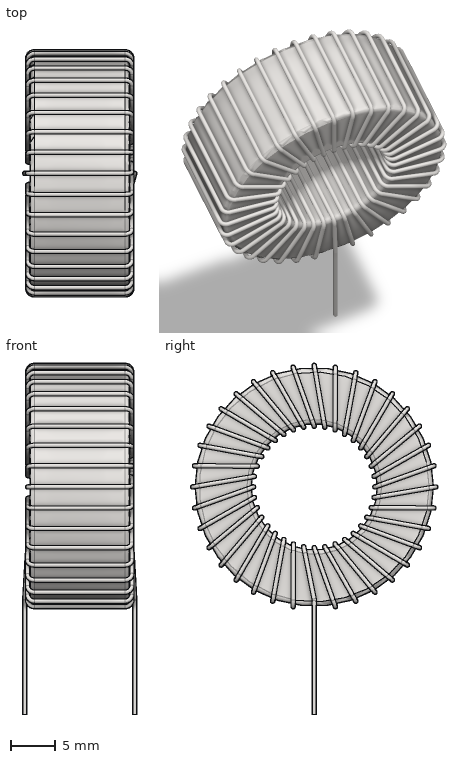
import cadquery as cq
import math


core_outer_diameter = 27.1
core_inner_diameter = 14.3
core_width = 11.3
core_edge_radius = 0.5

wire_diameter = 0.5
wire_clearance = 0.01
strand_count = 36
strand_pitch = 360 / strand_count
start_angle = -90

lead_spacing = 12.5
lead_bend_z = -12.8
lead_end_z = -25.85

wire_offset = wire_diameter / 2 + wire_clearance
bend_radius = core_edge_radius + wire_offset
strand_outer_radius = core_outer_diameter / 2 + wire_offset
strand_inner_radius = core_inner_diameter / 2 - wire_offset
strand_x = core_width / 2 + wire_offset
lead_x = lead_spacing / 2


def make_core():
    """Rectangular-section ring with rounded edges, centred on the X axis."""
    ring = (
        cq.Workplane("YZ", origin=(-core_width / 2, 0, 0))
        .circle(core_outer_diameter / 2)
        .circle(core_inner_diameter / 2)
        .extrude(core_width)
    )
    return ring.faces("<X or >X").edges().fillet(core_edge_radius)


def ring_point(x, radius, angle):
    """Point at a radius and angle (degrees from +Y towards +Z) around the X axis."""
    turn = math.radians(angle)
    return cq.Vector(x, radius * math.cos(turn), radius * math.sin(turn))


def winding_corners():
    """Sharp corners of the wire centreline, from the -X lead to the +X lead."""
    corners = [cq.Vector(-lead_x, 0, lead_end_z), cq.Vector(-lead_x, 0, lead_bend_z)]
    for turn in range(strand_count):
        angle = start_angle + turn * strand_pitch
        if turn > 0:
            corners.append(ring_point(strand_x, strand_outer_radius, angle))
            corners.append(ring_point(-strand_x, strand_outer_radius, angle))
        corners.append(ring_point(-strand_x, strand_inner_radius, angle))
        corners.append(ring_point(strand_x, strand_inner_radius, angle))
    corners.append(cq.Vector(lead_x, 0, lead_bend_z))
    corners.append(cq.Vector(lead_x, 0, lead_end_z))
    return corners


def rounded_path(corners):
    """Wire through the corners, with a tangent arc of bend_radius at each inner corner."""
    edges = []
    run_start = corners[0]
    for before, corner, after in zip(corners, corners[1:], corners[2:]):
        back = (before - corner).normalized()
        ahead = (after - corner).normalized()
        half_angle = back.getAngle(ahead) / 2
        setback = bend_radius / math.tan(half_angle)
        apex_distance = bend_radius / math.sin(half_angle) - bend_radius
        arc_start = corner + back * setback
        arc_middle = corner + (back + ahead).normalized() * apex_distance
        arc_end = corner + ahead * setback
        edges.append(cq.Edge.makeLine(run_start, arc_start))
        edges.append(cq.Edge.makeThreePointArc(arc_start, arc_middle, arc_end))
        run_start = arc_end
    edges.append(cq.Edge.makeLine(run_start, corners[-1]))
    return cq.Wire.assembleEdges(edges)


def make_winding():
    """Round wire swept along the whole winding, both leads included."""
    corners = winding_corners()
    start = corners[0]
    section = cq.Workplane("XY", origin=start.toTuple()).circle(wire_diameter / 2)
    return section.sweep(cq.Workplane(rounded_path(corners)))


core = make_core()
winding = make_winding()

result = cq.Compound.makeCompound([core.val(), winding.val()])